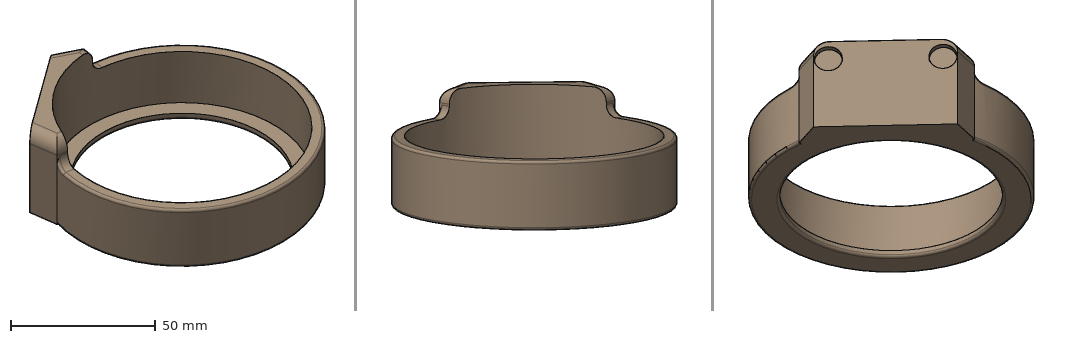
import cadquery as cq
import math

outer_radius = 49.5
bore_radius = 45.0
lip_radius = 38.7
ring_height = 24.5
lip_thickness = 2.7
edge_radius = 1.0

pad_height = 34.5
face_half_width = 25.0
shoulder_half_width = 30.5
shoulder_wall_run = 10.2
round_radius = 5.0
blend_radius = 4.3
blend_root = 1.0
pad_turn = -44.5

recess_diameter = 9.7
recess_depth = 2.0
recess_spacing = 39.8
recess_height = 27.5

shoulder_y = -math.sqrt(outer_radius**2 - shoulder_half_width**2)


def make_pad():
    """Flared block whose inner walls run at 45 degrees across the ring wall."""
    inner_half_width = shoulder_half_width - shoulder_wall_run
    inner_y = shoulder_y + shoulder_wall_run
    right_side = [
        (face_half_width, -outer_radius),
        (shoulder_half_width, shoulder_y),
        (inner_half_width, inner_y),
    ]
    left_side = [(-x, y) for x, y in reversed(right_side)]
    pad = cq.Workplane("XY").polyline(right_side + left_side).close().extrude(pad_height)
    return pad.faces(">Z").edges("not #Y").edges("not |X").fillet(round_radius)


def make_blend():
    """Hollow-curved wedge rising from the ring top to the right inner wall of the pad."""
    wall_plane = cq.Plane(
        origin=(shoulder_half_width, shoulder_y, ring_height),
        xDir=(1, 1, 0),
        normal=(1, -1, 0),
    )
    arc_middle = blend_radius * (1 - math.sqrt(0.5))
    return (
        cq.Workplane(wall_plane)
        .moveTo(-blend_root, -blend_root)
        .lineTo(blend_radius, -blend_root)
        .lineTo(blend_radius, 0)
        .threePointArc((arc_middle, arc_middle), (0, blend_radius))
        .lineTo(-blend_root, blend_radius)
        .close()
        .extrude(shoulder_wall_run, both=True)
    )


def make_ring():
    """Ring with both blends on top; the rounded rim runs on up the blends."""
    blend = make_blend()
    blends = blend.union(blend.mirror("YZ"))
    blends = blends.intersect(cq.Workplane("XY").circle(outer_radius).extrude(pad_height))
    ring = cq.Workplane("XY").circle(outer_radius).extrude(ring_height)
    ring = ring.union(blends)
    ring = ring.faces("<Z").edges().fillet(edge_radius)
    rim_point = (0, outer_radius, ring_height)
    return ring.edges(cq.selectors.NearestToPointSelector(rim_point)).fillet(edge_radius)


def cut_bore(body):
    """Wide bore above a narrow lip with a rounded bottom edge."""
    bore = cq.Workplane("XY").workplane(offset=lip_thickness).circle(bore_radius).extrude(pad_height)
    lip_hole = cq.Workplane("XY").circle(lip_radius).extrude(pad_height)
    body = body.cut(bore).cut(lip_hole)
    lip_edge = cq.selectors.RadiusNthSelector(0)
    return body.faces("<Z").edges("%CIRCLE").edges(lip_edge).fillet(edge_radius)


def cut_recesses(body):
    """Pair of round recesses sunk into the flat pad face."""
    recesses = (
        cq.Workplane("XZ", origin=(0, -outer_radius, 0))
        .pushPoints([(side * recess_spacing / 2, recess_height) for side in (-1, 1)])
        .circle(recess_diameter / 2)
        .extrude(-recess_depth)
    )
    return body.cut(recesses)


part = cut_recesses(cut_bore(make_ring().union(make_pad())))
result = part.rotate((0, 0, 0), (0, 0, 1), pad_turn)